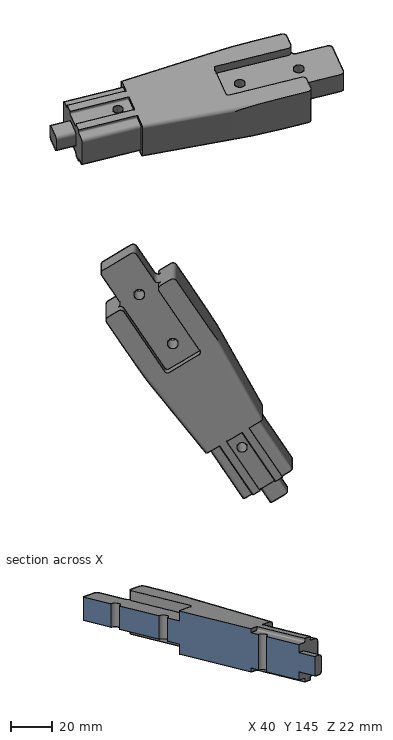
import cadquery as cq

PEG_END = -72.5
PEG_LENGTH = 10.0
INSERT_LENGTH = 30.0
INSERT_END = PEG_END + PEG_LENGTH
BODY_START = INSERT_END + INSERT_LENGTH
BODY_LENGTH = 85.0
BODY_END = BODY_START + BODY_LENGTH
TONGUE_END = -PEG_END

BODY_WIDTH = 40.0
BODY_HEIGHT = 22.0
NECK_WIDTH = 32.6
TAPER_LENGTH = 45.0
CORNER_RADIUS = 2.0

TONGUE_WIDTH = 20.0
TONGUE_HEIGHT = 12.0
TONGUE_LENGTH = 60.0
SLOT_END = TONGUE_END - TONGUE_LENGTH
SLOT_CORNER_RADIUS = 1.5

INSERT_WIDTH = 28.3
INSERT_HEIGHT = 18.1
RIB_INNER = 4.4
RIB_OUTER = 8.5
RIB_FOOT_RADIUS = 0.7

PEG_SIZE = 10.0

TONGUE_HOLE_DIAMETER = 5.2
TONGUE_HOLE_SPACING = 30.0
TONGUE_HOLES_Y = (BODY_END, BODY_END - TONGUE_HOLE_SPACING)
INSERT_HOLE_DIAMETER = 5.0
INSERT_HOLE_SETBACK = 7.1
INSERT_HOLE_Y = BODY_START - INSERT_HOLE_SETBACK


def block(width, height, y_start, y_end):
    """Box centred on the Y axis between two stations."""
    length = y_end - y_start
    return cq.Workplane("XY").box(width, length, height).translate((0, (y_start + y_end) / 2, 0))


def make_body():
    """Tapered bar with rounded long edges, trimmed to straight sides at its wide end."""
    slope = (BODY_WIDTH - NECK_WIDTH) / 2 / TAPER_LENGTH
    neck_half = NECK_WIDTH / 2
    wide_half = neck_half + slope * BODY_LENGTH
    wedge = (
        cq.Workplane("XY")
        .polyline([
            (-neck_half, BODY_START),
            (neck_half, BODY_START),
            (wide_half, BODY_END),
            (-wide_half, BODY_END),
        ])
        .close()
        .extrude(BODY_HEIGHT / 2, both=True)
    )
    wedge = wedge.faces("<X or >X").edges("#Z").fillet(CORNER_RADIUS)
    envelope = block(BODY_WIDTH, BODY_HEIGHT, BODY_START, BODY_END)
    envelope = envelope.edges("|Z and >Y").fillet(CORNER_RADIUS)
    return wedge.intersect(envelope)


def make_slot():
    """Full-height channel through the fork, with rounded inner corners and mouth edges."""
    channel = block(TONGUE_WIDTH, BODY_HEIGHT, SLOT_END, BODY_END)
    channel = channel.edges("|Z and <Y").fillet(SLOT_CORNER_RADIUS)
    half = TONGUE_WIDTH / 2
    for side in (-1, 1):
        mouth = (
            cq.Workplane("XY")
            .moveTo(side * half, BODY_END - CORNER_RADIUS)
            .radiusArc((side * (half + CORNER_RADIUS), BODY_END), side * CORNER_RADIUS)
            .lineTo(side * half, BODY_END)
            .close()
            .extrude(BODY_HEIGHT / 2, both=True)
        )
        channel = channel.union(mouth)
    return channel


def make_tongue():
    """Flat tongue blended into the end of the fork."""
    shoulder = block(BODY_WIDTH - 2 * CORNER_RADIUS, TONGUE_HEIGHT, SLOT_END, BODY_END)
    tongue = shoulder.union(block(TONGUE_WIDTH, TONGUE_HEIGHT, SLOT_END, TONGUE_END))
    half = TONGUE_WIDTH / 2
    for side in (-1, 1):
        root = cq.selectors.NearestToPointSelector((side * half, BODY_END, 0))
        tongue = tongue.edges("|Z").edges(root).fillet(CORNER_RADIUS)
    return tongue.edges("|Z and >Y").fillet(CORNER_RADIUS)


def make_insert():
    """Rounded bar with two full-height ribs, blended at their feet."""
    core = block(INSERT_WIDTH, INSERT_HEIGHT, INSERT_END, BODY_START)
    insert = core.edges("|Y").fillet(CORNER_RADIUS)
    rib_width = RIB_OUTER - RIB_INNER
    rib_centre = (RIB_OUTER + RIB_INNER) / 2
    for side in (-1, 1):
        rib = block(rib_width, BODY_HEIGHT, INSERT_END, BODY_START)
        insert = insert.union(rib.translate((side * rib_centre, 0, 0)))
    middle = (INSERT_END + BODY_START) / 2
    for x in (-RIB_OUTER, -RIB_INNER, RIB_INNER, RIB_OUTER):
        for z in (-INSERT_HEIGHT / 2, INSERT_HEIGHT / 2):
            foot = cq.selectors.NearestToPointSelector((x, middle, z))
            insert = insert.edges("|Y").edges(foot).fillet(RIB_FOOT_RADIUS)
    return insert


def make_hole(diameter, y):
    """Cutter for a round hole through the full height."""
    return cq.Workplane("XY").center(0, y).circle(diameter / 2).extrude(BODY_HEIGHT / 2, both=True)


peg = block(PEG_SIZE, PEG_SIZE, PEG_END, INSERT_END).edges("|Y").fillet(CORNER_RADIUS)

result = make_body().cut(make_slot()).union(make_tongue())
result = result.union(make_insert()).union(peg)
for hole_y in TONGUE_HOLES_Y:
    result = result.cut(make_hole(TONGUE_HOLE_DIAMETER, hole_y))
result = result.cut(make_hole(INSERT_HOLE_DIAMETER, INSERT_HOLE_Y))